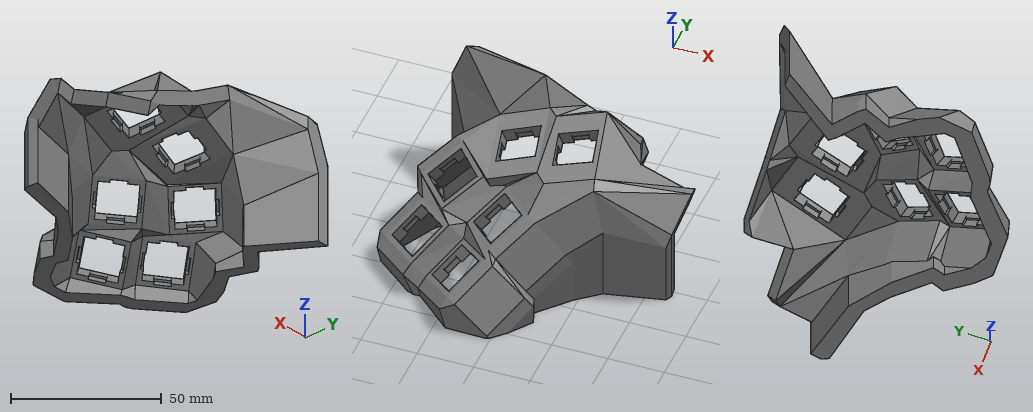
import cadquery as cq


PLATE_DEPTH = 5.0
PLATE_WIDTH = 17.8
LONG_PLATE_LENGTH = 29.6
SWITCH_HOLE = 14.0

CLIP_WIDTH = 5.9
CLIP_BELOW_TOP = 1.4
CLIP_RECESS = 1.0
CLIP_TAPER = 0.15
CLIP_TAPER_HEIGHT = 0.8

RIM_OFFSET = 4.6
RIM_DROP = 1.0
WALL_OFFSET = 10.7
WALL_DROP = 15.0
WING_OFFSET = 9.7
WING_DROP = 14.6

FLOOR_SPAN = 303.5
SHADOW_DEPTH = 10.0


def wall_profile(offset, drop):
    """Outward and vertical steps from a plate's edge to the rim and to both sides of the wall."""
    return ((0, 0), (RIM_OFFSET, -RIM_DROP), (offset - RIM_OFFSET, -drop), (offset, -drop))


WALL_PROFILE = wall_profile(WALL_OFFSET, WALL_DROP)
WING_PROFILE = wall_profile(WING_OFFSET, WING_DROP)

TL = (-1, 1)
TR = (1, 1)
BL = (-1, -1)
BR = (1, -1)

LEFT = (-1, 0)
BACK = (0, 1)
FRONT = (0, -1)
BACK_LEFTWARD = (-0.25, 1)

COPLANAR_TOLERANCE = 1.01e-06


class Frame:
    """A local coordinate system, turned about X, then Y, then Z, and moved to its origin."""

    def __init__(self, origin, turn, length=PLATE_WIDTH):
        self.origin = origin
        self.turn = turn
        self.length = length

    def location(self):
        move = cq.Location(cq.Vector(*self.origin))
        for axis, angle in zip(((0, 0, 1), (0, 1, 0), (1, 0, 0)), reversed(self.turn)):
            move = move * cq.Location(cq.Vector(), cq.Vector(*axis), angle)
        return move

    def point(self, x, y, z):
        return cq.Vector(*(self.location() * cq.Location(cq.Vector(x, y, z))).toTuple()[0])

    def post(self, x=0, y=0, z=0):
        """The two ends of an edge that runs one plate depth down from a local point."""
        return [self.point(x, y, z), self.point(x, y, z - PLATE_DEPTH)]

    def corner(self, corner):
        return self.post(corner[0] * PLATE_WIDTH / 2, corner[1] * self.length / 2)

    def wall_posts(self, direction, corner=(0, 0), profile=WALL_PROFILE):
        """Posts of a wall that leaves a corner: plate edge, rim, wall inside and wall outside."""
        x, y = corner[0] * PLATE_WIDTH / 2, corner[1] * self.length / 2
        return [self.post(x + direction[0] * out, y + direction[1] * out, z) for out, z in profile]


top_left = Frame((39.0, 56.9, 36.8), (7.5, -18, 10), LONG_PLATE_LENGTH)
top_right = Frame((59.8, 55.2, 42.4), (10, -15, 10), LONG_PLATE_LENGTH)
mid_left = Frame((20.0, 45.1, 26.7), (6, -34, 40))
mid_right = Frame((41.6, 30.6, 25.7), (-6, -34, 48))
low_left = Frame((14.4, 27.0, 15.2), (-4, -35, 52))
low_right = Frame((32.4, 15.6, 13.4), (-16, -33, 54))
plates = (top_left, top_right, mid_left, mid_right, low_left, low_right)

BACK_TURN = (-12, 25, 0)
SIDE_TURN = (-29, 15, 0)
key0_left = Frame((40.3, 78.6, 49.9), BACK_TURN).post()
key0_right = Frame((55.2, 78.6, 41.3), BACK_TURN).post()
key1_left = Frame((58.3, 78.6, 39.8), BACK_TURN).post()
key1_right = Frame((74.9, 78.6, 32.9), BACK_TURN).post()
key2_back = Frame((77.1, 77.7, 28.2), SIDE_TURN).post()
key2_left = Frame((80.4, 61.8, 36.3), SIDE_TURN).post()
key2_right = Frame((97.4, 61.8, 30.1), SIDE_TURN).post()
key3 = Frame((100.9, 59.0, 34.0), SIDE_TURN)
wing = Frame((12.6, 89.3, 45.5), (0, 0, 0))


def hull(points):
    """Convex solid around the points; each face is a plane with every point on one side."""
    faces = {}
    count = len(points)
    for i in range(count):
        for j in range(i + 1, count):
            for k in range(j + 1, count):
                normal = (points[j] - points[i]).cross(points[k] - points[i])
                if normal.Length < COPLANAR_TOLERANCE:
                    continue
                normal = normal.normalized()
                heights = [normal.dot(p - points[i]) for p in points]
                if min(heights) < -COPLANAR_TOLERANCE and max(heights) > COPLANAR_TOLERANCE:
                    continue
                on_plane = tuple(n for n, h in enumerate(heights) if abs(h) <= COPLANAR_TOLERANCE)
                faces[on_plane] = normal
    shell = cq.Shell.makeShell([hull_face([points[n] for n in ids], nrm) for ids, nrm in faces.items()])
    return cq.Solid.makeSolid(shell)


def hull_face(points, normal):
    """Convex polygon through points of one plane, without those inside it or along its edges."""
    start = points[0]
    across = (points[1] - start).normalized()
    up = normal.cross(across)
    flat = sorted(((p - start).dot(across), (p - start).dot(up), n) for n, p in enumerate(points))
    ring = half_ring(flat) + half_ring(flat[::-1])
    wire = cq.Wire.makePolygon([points[n] for _, _, n in ring], close=True)
    return cq.Face.makeFromWires(wire)


def half_ring(flat):
    """One side of a flat convex outline, without its last point."""
    side = []
    for p in flat:
        while len(side) > 1:
            a, b = side[-2], side[-1]
            turn = (b[0] - a[0]) * (p[1] - a[1]) - (b[1] - a[1]) * (p[0] - a[0])
            if turn > COPLANAR_TOLERANCE:
                break
            side.pop()
        side.append(p)
    return side[:-1]


def distinct(points):
    kept = []
    for p in points:
        if all((p - q).Length > COPLANAR_TOLERANCE for q in kept):
            kept.append(p)
    return kept


def join(*posts):
    return hull(distinct([p for post in posts for p in post]))


def join_to_floor(*posts):
    """Hull of the posts and their shadow below the floor, where the part is trimmed off."""
    shadows = [[cq.Vector(p.x, p.y, -SHADOW_DEPTH) for p in post] for post in posts]
    return join(*posts, *shadows)


def web(*posts):
    """Strip of hulls, one for each three posts in a row."""
    return [join(*posts[n:n + 3]) for n in range(len(posts) - 2)]


def wall(first, second):
    """Wall between two sets of wall posts: a sloping upper part and an upright lower part."""
    return [join(*first, *second), join_to_floor(*first[2:], *second[2:])]


def clip_recess():
    """Recess in one side of a switch hole: a slight taper under the lip, then deeper and open below."""
    side = SWITCH_HOLE / 2
    step = -CLIP_BELOW_TOP - CLIP_TAPER_HEIGHT
    profile = [
        (0, -CLIP_BELOW_TOP),
        (side, -CLIP_BELOW_TOP),
        (side + CLIP_TAPER, step),
        (side + CLIP_RECESS, step),
        (side + CLIP_RECESS, -PLATE_DEPTH),
        (0, -PLATE_DEPTH),
    ]
    return cq.Workplane("XZ").polyline(profile).close().extrude(CLIP_WIDTH / 2, both=True)


def key_plate(frame):
    middle = -PLATE_DEPTH / 2
    plate = cq.Workplane().box(PLATE_WIDTH, frame.length, PLATE_DEPTH).translate((0, 0, middle))
    plate = plate.cut(cq.Workplane().box(SWITCH_HOLE, SWITCH_HOLE, 2 * PLATE_DEPTH))
    for quarter in range(4):
        plate = plate.cut(clip_recess().rotate((0, 0, 0), (0, 0, 1), 90 * quarter))
    return plate.val().moved(frame.location())


def plate_webs():
    tl, tr, ml, mr, bl, br = (frame.corner for frame in plates)
    return [
        *web(tl(TR), tl(BR), tr(TL), tr(BL)),
        *web(br(TR), br(BR), mr(TL), mr(BL)),
        *web(bl(TR), bl(BR), ml(TL), ml(BL)),
        *web(br(TL), bl(BL), br(TR), bl(BR), mr(TL), ml(BL), mr(TR), ml(BR)),
        *web(tl(TL), ml(TR), tl(BL), ml(BR), tl(BR), mr(TR), tr(BL), mr(BR), tr(BR)),
    ]


def keyboard_webs():
    tl, tr = top_left.corner, top_right.corner
    return [
        *web(tl(TL), key0_left, tl(TR), key0_right, tr(TL), key1_left, tr(TR)),
        *web(key1_left, tr(TR), key1_right, key2_back, key2_left),
        *web(key2_back, key2_left, tr(TR)),
        *web(tr(TR), key2_left, tr(BR), key2_right, key3.post()),
    ]


def outer_walls():
    """Walls around the outside, from the keyboard's key at the right to the left-hand wing."""
    path = [
        key3.wall_posts(FRONT),
        top_right.wall_posts(FRONT, BR),
        mid_right.wall_posts(FRONT, BR),
        mid_right.wall_posts(FRONT, BL),
        low_right.wall_posts(FRONT, BR),
        low_right.wall_posts(FRONT, BL),
        low_right.wall_posts(LEFT, BL),
        low_right.wall_posts(LEFT, TL),
        low_left.wall_posts(LEFT, BL),
        low_left.wall_posts(LEFT, TL),
        low_left.wall_posts(BACK, TL),
        low_left.wall_posts(BACK, TR),
        mid_left.wall_posts(BACK, TL),
        mid_left.wall_posts(BACK_LEFTWARD, TR),
    ]
    return [body for first, second in zip(path, path[1:]) for body in wall(first, second)]


def wing_walls():
    """Wing that rises at the back left and meets the top-left plate."""
    wing_posts = wing.wall_posts(LEFT, profile=WING_PROFILE)
    side_posts = mid_left.wall_posts(BACK_LEFTWARD, TR)
    plate_corner = top_left.corner(TL)
    return [
        join_to_floor(*wing_posts[2:], *side_posts[2:]),
        join(*wing_posts[2:], *side_posts[2:], plate_corner),
        join(*wing_posts, plate_corner),
        join(*wing_posts[:2], key0_left, plate_corner),
        join(*side_posts, plate_corner),
    ]


bodies = [key_plate(frame) for frame in plates]
bodies += plate_webs() + keyboard_webs() + outer_walls() + wing_walls()
above_floor = cq.Workplane().box(FLOOR_SPAN, FLOOR_SPAN, FLOOR_SPAN).translate((0, 0, FLOOR_SPAN / 2))
shell = bodies[0].fuse(*bodies[1:])
trimmed = shell.intersect(above_floor.val()).clean()
result = cq.Workplane(trimmed.Solids()[0])